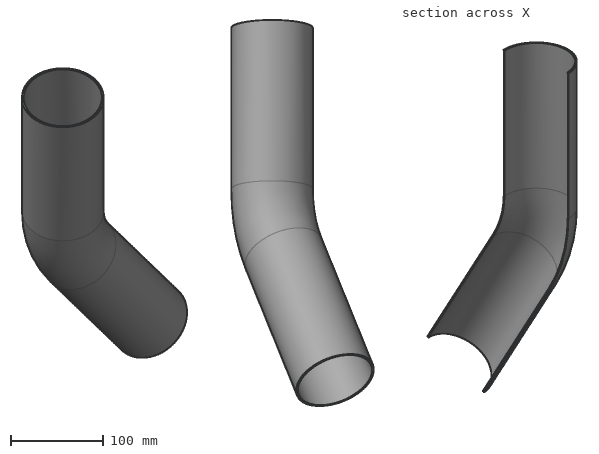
import cadquery as cq
import math

overall_height = 430.0
outer_diameter = 89.0
inner_diameter = 84.7
bend_radius = 150.5
bend_angle = 30.0

outer_radius = outer_diameter / 2
sin_bend = math.sin(math.radians(bend_angle))
cos_bend = math.cos(math.radians(bend_angle))
leg_length = (overall_height - (bend_radius + outer_radius) * sin_bend) / (1 + cos_bend)


def ring(workplane):
    """Draw the tube wall section on a workplane."""
    return workplane.circle(outer_diameter / 2).circle(inner_diameter / 2)


upper_leg = ring(cq.Workplane("XY")).extrude(leg_length)

bend = ring(cq.Workplane("XY")).revolve(bend_angle, (0, bend_radius, 0), (1, bend_radius, 0))

lower_start = (0, bend_radius * (1 - cos_bend), -bend_radius * sin_bend)
lower_direction = (0, sin_bend, -cos_bend)
lower_plane = cq.Plane(origin=lower_start, xDir=(1, 0, 0), normal=lower_direction)
lower_leg = ring(cq.Workplane(lower_plane)).extrude(leg_length)

result = upper_leg.union(bend).union(lower_leg)